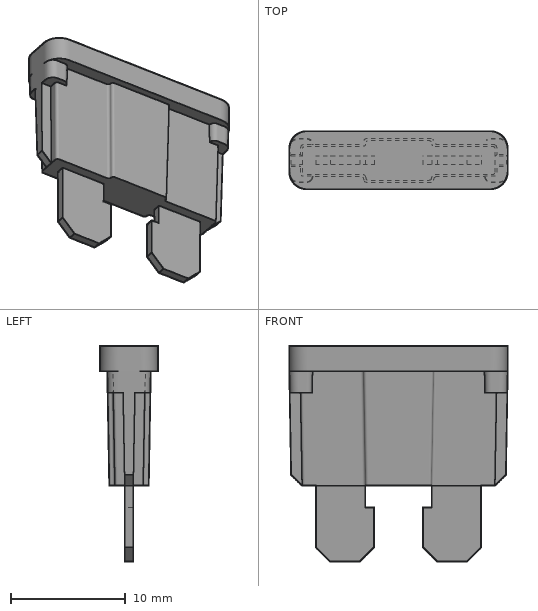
import cadquery as cq
import math


CAP_LENGTH = 19.05
CAP_WIDTH = 5.09
CAP_HEIGHT = 2.23
CAP_CORNER_RADIUS = 1.56

BODY_HEIGHT = 9.96
DRAFT_ANGLE = 1.0
PANEL_HALF_LENGTH = 8.57
RAISED_HALF_LENGTH = 3.05
RAISED_HALF_WIDTH = 1.9
BLEND_RADIUS = 0.25
PANEL_HALF_WIDTH = RAISED_HALF_WIDTH - 2 * BLEND_RADIUS
DRAFT_INSET = BODY_HEIGHT * math.tan(math.radians(DRAFT_ANGLE))

BLADE_THICKNESS = 0.75
BLADE_LENGTH = 6.61
BLADE_OUTER_X = 7.2
BLADE_INNER_X = 2.13
BLADE_NECK_X = 2.9
BLADE_NECK_LENGTH = 1.89
BLADE_CHAMFER = 1.24

WEB_WIDTH = BLADE_THICKNESS + 2 * DRAFT_INSET
WEB_CHAMFER = 0.95

BLOCK_HEIGHT = 1.85
BLOCK_INNER_X = 7.49
BLOCK_WIDTH = 2 * RAISED_HALF_WIDTH
BLOCK_OUTER_RADIUS = 0.75
BLOCK_INNER_RADIUS = 0.53


def cap_prism(height, taper=0):
    """Rounded cap outline extruded from the underside of the cap; a negative height goes down."""
    return (
        cq.Workplane("XY")
        .rect(CAP_LENGTH, CAP_WIDTH)
        .extrude(height, taper=taper)
        .edges("not #Z")
        .fillet(CAP_CORNER_RADIUS)
    )


def panel_outline(level, inset):
    """Plan outline wire of the panels at a Z level, with every side moved inward by the inset."""
    r = BLEND_RADIUS
    diagonal = r * math.sqrt(0.5)
    end_x = PANEL_HALF_LENGTH - inset
    panel_y = PANEL_HALF_WIDTH - inset
    step_x = RAISED_HALF_LENGTH - inset
    step_y = panel_y + r
    raised_y = panel_y + 2 * r

    end_round = ((end_x - r + diagonal, panel_y - r + diagonal), (end_x - r, panel_y))
    hollow_start = (step_x + r, panel_y)
    hollow = ((step_x + r - diagonal, step_y - diagonal), (step_x, step_y))
    crest = ((step_x - r + diagonal, step_y + diagonal), (step_x - r, raised_y))
    quarter_start = (end_x, panel_y - r)

    def flip_x(point):
        return (-point[0], point[1])

    half = (
        cq.Workplane("XY", origin=(0, 0, level))
        .moveTo(end_x, 0)
        .lineTo(*quarter_start)
        .threePointArc(*end_round)
        .lineTo(*hollow_start)
        .threePointArc(*hollow)
        .threePointArc(*crest)
        .lineTo(*flip_x(crest[1]))
        .threePointArc(flip_x(crest[0]), flip_x(hollow[1]))
        .threePointArc(flip_x(hollow[0]), flip_x(hollow_start))
        .lineTo(*flip_x(end_round[1]))
        .threePointArc(flip_x(end_round[0]), flip_x(quarter_start))
        .lineTo(-end_x, 0)
    )
    return half.mirrorX().val()


def drafted_panels():
    """Panels with a raised middle, drafted inward towards the blades."""
    top = panel_outline(0, 0)
    bottom = panel_outline(-BODY_HEIGHT, DRAFT_INSET)
    return cq.Workplane(cq.Solid.makeLoft([bottom, top], True))


def web():
    """Thin drafted plate along the whole length, with its lower corners cut off."""
    return (
        cq.Workplane("XY")
        .rect(CAP_LENGTH, WEB_WIDTH)
        .extrude(-BODY_HEIGHT, taper=DRAFT_ANGLE)
        .faces("<Z")
        .edges("|Y")
        .chamfer(WEB_CHAMFER)
    )


def end_block():
    """Drafted rounded block under the +X end of the cap, its end flush with the web."""
    length = CAP_LENGTH / 2 - BLOCK_INNER_X
    block = (
        cq.Workplane("XY", origin=(BLOCK_INNER_X + length / 2, 0, 0))
        .rect(length, BLOCK_WIDTH)
        .extrude(-BLOCK_HEIGHT, taper=DRAFT_ANGLE)
    )
    block = block.intersect(cap_prism(-BLOCK_HEIGHT, DRAFT_ANGLE))
    block = block.faces("<Y or >Y").edges("not #Z").edges(">X").fillet(BLOCK_OUTER_RADIUS)
    return block.faces("<X").edges("not #Z").fillet(BLOCK_INNER_RADIUS)


def blade():
    """Blade on the +X side, with a narrower neck and a chamfered tip."""
    root_z = -BODY_HEIGHT
    neck_z = root_z - BLADE_NECK_LENGTH
    tip_z = root_z - BLADE_LENGTH
    chamfer_z = tip_z + BLADE_CHAMFER
    return (
        cq.Workplane("XZ")
        .moveTo(BLADE_NECK_X, root_z)
        .lineTo(BLADE_NECK_X, neck_z)
        .lineTo(BLADE_INNER_X, neck_z)
        .lineTo(BLADE_INNER_X, chamfer_z)
        .lineTo(BLADE_INNER_X + BLADE_CHAMFER, tip_z)
        .lineTo(BLADE_OUTER_X - BLADE_CHAMFER, tip_z)
        .lineTo(BLADE_OUTER_X, chamfer_z)
        .lineTo(BLADE_OUTER_X, root_z)
        .close()
        .extrude(BLADE_THICKNESS / 2, both=True)
    )


result = cap_prism(CAP_HEIGHT).union(drafted_panels()).union(web())
for feature in (end_block(), blade()):
    result = result.union(feature).union(feature.mirror("YZ"))